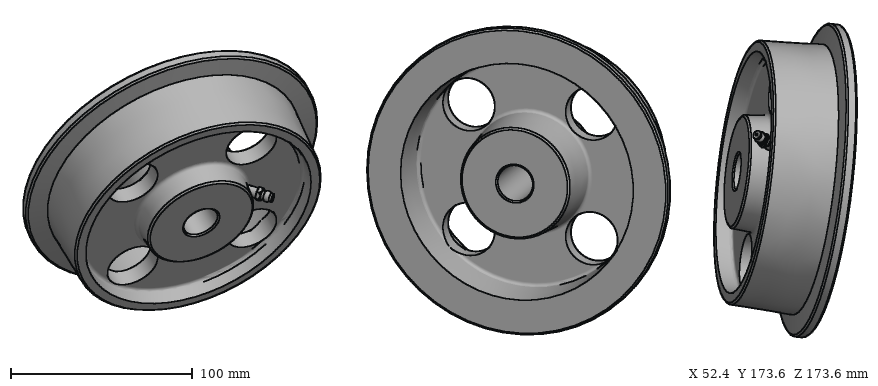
import cadquery as cq
import math

hub_length = 52.0
hub_radius = 31.4
hub_chamfer = 1.0
bore_radius = 10.0
bore_chamfer = 0.9

rim_width = 44.0
rim_edge = 1.0
flange_radius = 86.8
flange_width = 6.2
flange_shoulder_radius = 85.7
tread_start = -14.0
tread_large_radius = 75.0
tread_small_radius = 73.2

recess_radius = 67.0
draft_angle = 5.0
web_front = 2.6
web_thickness = 10.0
recess_fillet = 2.0

window_count = 4
window_radius = 15.0
window_circle_radius = 50.0
first_window_angle = 45

nipple_angle = 45.0
nipple_end_x = 24.6
nipple_end_y = 43.0
tip_radius = 0.7
tip_height = 0.3
head_end_radius = 2.5
collar_length = 1.4
head_radius = 3.1
head_middle = 2.8
neck_radius = 2.6
neck_start = 4.7
hex_start = 6.2
hex_length = 2.6
hex_across_flats = 7.0
hex_top_radius = 3.5
hex_chamfer_length = 1.0
shank_radius = 3.0
shank_end = 18.2

hub_end = hub_length / 2
rim_end = rim_width / 2
web_back = web_front + web_thickness
draft_slope = math.tan(math.radians(draft_angle))


def revolve_about_x(profile):
    return profile.revolve(360, (0, 0, 0), (1, 0, 0))


def make_rim_and_hub():
    """Solid of the whole wheel outline, before the recesses are turned out."""
    flange_back = -rim_end + flange_width
    rim = revolve_about_x(
        cq.Workplane("XY")
        .moveTo(-rim_end, 0)
        .lineTo(-rim_end, flange_radius - rim_edge)
        .lineTo(-rim_end + rim_edge, flange_radius)
        .lineTo(flange_back - rim_edge, flange_radius)
        .lineTo(flange_back, flange_shoulder_radius)
        .lineTo(tread_start, tread_large_radius)
        .lineTo(rim_end - rim_edge, tread_small_radius)
        .lineTo(rim_end, tread_small_radius - rim_edge)
        .lineTo(rim_end, 0)
        .close()
    )
    hub_face_radius = hub_radius - hub_chamfer
    hub_shoulder = hub_end - hub_chamfer
    shoulder_radius = hub_radius + hub_chamfer * draft_slope
    middle_radius = hub_radius + hub_end * draft_slope
    hub = revolve_about_x(
        cq.Workplane("XY")
        .moveTo(-hub_end, 0)
        .lineTo(-hub_end, hub_face_radius)
        .lineTo(-hub_shoulder, shoulder_radius)
        .lineTo(0, middle_radius)
        .lineTo(hub_shoulder, shoulder_radius)
        .lineTo(hub_end, hub_face_radius)
        .lineTo(hub_end, 0)
        .close()
    )
    return rim.union(hub)


def make_recess(web_x, side):
    """Drafted ring between hub and rim; side is -1 towards -X and +1 towards +X."""
    rim_depth = abs(side * rim_end - web_x)
    hub_depth = abs(side * hub_end - web_x)
    ring = revolve_about_x(
        cq.Workplane("XY")
        .moveTo(web_x, hub_radius + hub_depth * draft_slope)
        .lineTo(side * hub_end, hub_radius)
        .lineTo(side * hub_end, recess_radius + (hub_depth - rim_depth) * draft_slope)
        .lineTo(web_x, recess_radius - rim_depth * draft_slope)
        .close()
    )
    floor = ring.faces("<X" if side > 0 else ">X")
    return floor.edges().fillet(recess_fillet)


def make_windows():
    """Round openings through the web, evenly spaced at 45 degrees to Y and Z."""
    return (
        cq.Workplane("YZ", origin=(-hub_end, 0, 0))
        .polarArray(window_circle_radius, first_window_angle, 360, window_count)
        .circle(window_radius)
        .extrude(hub_length)
    )


def make_bore():
    mouth_radius = bore_radius + bore_chamfer
    return revolve_about_x(
        cq.Workplane("XY")
        .moveTo(-hub_end, 0)
        .lineTo(-hub_end, mouth_radius)
        .lineTo(-hub_end + bore_chamfer, bore_radius)
        .lineTo(hub_end - bore_chamfer, bore_radius)
        .lineTo(hub_end, mouth_radius)
        .lineTo(hub_end, 0)
        .close()
    )


def make_nipple():
    """Grease nipple, modelled pointing along +X and then turned into place."""
    hex_end = hex_start + hex_length
    turned = revolve_about_x(
        cq.Workplane("XY")
        .moveTo(tip_height, 0)
        .lineTo(tip_height, tip_radius)
        .lineTo(0, tip_radius)
        .lineTo(0, head_end_radius)
        .lineTo(-collar_length, head_end_radius)
        .threePointArc((-head_middle, head_radius), (-neck_start, neck_radius))
        .lineTo(-hex_start, neck_radius)
        .lineTo(-hex_start, shank_radius)
        .lineTo(-shank_end, shank_radius)
        .lineTo(-shank_end, 0)
        .close()
    )
    hex_diameter = hex_across_flats / math.cos(math.pi / 6)
    hexagon = (
        cq.Workplane("YZ", origin=(-hex_end, 0, 0))
        .polygon(6, hex_diameter)
        .extrude(hex_length)
    )
    corner_radius = hex_diameter / 2
    chamfer_cone = revolve_about_x(
        cq.Workplane("XY")
        .moveTo(-hex_start, 0)
        .lineTo(-hex_start, hex_top_radius)
        .lineTo(-hex_start - hex_chamfer_length, corner_radius)
        .lineTo(-hex_end, corner_radius)
        .lineTo(-hex_end, 0)
        .close()
    )
    return (
        turned.union(hexagon.intersect(chamfer_cone))
        .rotate((0, 0, 0), (0, 0, 1), nipple_angle)
        .translate((nipple_end_x, nipple_end_y, 0))
    )


def make_wheel(nipple):
    """Flanged wheel with a seat that matches the grease nipple."""
    return (
        make_rim_and_hub()
        .cut(make_recess(web_front, -1))
        .cut(make_recess(web_back, 1))
        .cut(make_windows())
        .cut(make_bore())
        .cut(nipple)
    )


grease_nipple = make_nipple()
wheel = make_wheel(grease_nipple)

result = cq.Compound.makeCompound([wheel.val(), grease_nipple.val()])